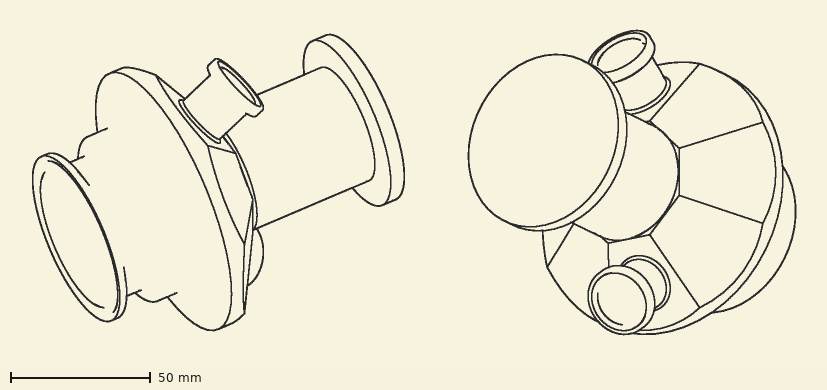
import cadquery as cq
import math

spool_radius = 64.0 / 2
neck_radius = 52.0 / 2
clamp_thickness = 2.9
clamp_taper_length = 2.6
shoulder_start = 18.5
shoulder_end = 27.9
spool_edge_round = 0.8
spool_neck_round = 1.6
shoulder_blend = 1.0
clamp_groove_radius = 28.2
clamp_groove_width = 3.3
clamp_groove_depth = 1.5
clamp_groove_lip_round = 0.9

body_radius = 99.5 / 2
body_cone_end = 35.8
facet_start = 40.6
facet_end = 60.5
facet_count = 8
facet_tilt = 35.0

pipe_radius = 44.0 / 2
pipe_root_radius = 21.0
pipe_root_end = 61.9
flange_taper_start = 110.2
flange_start = 111.1
flange_radius = spool_radius
total_length = 116.7

nozzle_foot_radius = 35.5
nozzle_length = 20.0
nozzle_radius = 19.0 / 2
nozzle_sunk_depth = 3.5
weld_size = 1.0
nozzle_flange_radius = 25.0 / 2
nozzle_flange_thickness = 4.0
nozzle_taper_length = 1.3
nozzle_edge_round = 0.7
nozzle_root_round = 0.9
nozzle_rim_round = 0.4
nozzle_recess_radius = 21.8 / 2
nozzle_recess_depth = 0.8
nozzle_groove_width = 1.9
nozzle_groove_depth = 0.9
nozzle_groove_lip_round = 0.5


def revolve_z(points):
    """Revolve an outline of (radius, height) points about Z."""
    return cq.Workplane("XZ").polyline(points).close().revolve(360, (0, 0), (0, 1))


def round_ring(solid, radius, height, size):
    """Round the circular edge that has this radius and height on the Z axis."""
    tolerance = 0.001

    def is_ring(edge):
        return (
            edge.geomType() == "CIRCLE"
            and abs(edge.radius() - radius) < tolerance
            and abs(edge.Center().z - height) < tolerance
        )

    rings = [edge for edge in solid.edges().vals() if is_ring(edge)]
    return solid.newObject(rings).fillet(size)


def cut_gasket_groove(solid, mid_radius, width, depth, lip_round):
    """Cut an arc-bottomed ring groove into the face at Z = 0 and round its lips."""
    inner = mid_radius - width / 2
    outer = mid_radius + width / 2
    groove = (
        cq.Workplane("XZ")
        .moveTo(inner, 0)
        .threePointArc((mid_radius, depth), (outer, 0))
        .close()
        .revolve(360, (0, 0), (0, 1))
    )
    solid = solid.cut(groove)
    for lip_radius in (inner, outer):
        solid = round_ring(solid, lip_radius, 0, lip_round)
    return solid


def make_spool_and_cone():
    """Front clamp spool, front cone and full round rim, with Z as the main axis."""
    taper_end = clamp_thickness + clamp_taper_length
    neck_end = shoulder_start - clamp_taper_length
    solid = revolve_z([
        (0, 0),
        (spool_radius, 0),
        (spool_radius, clamp_thickness),
        (neck_radius, taper_end),
        (neck_radius, neck_end),
        (spool_radius, shoulder_start),
        (spool_radius, shoulder_end),
        (body_radius, body_cone_end),
        (body_radius, facet_end),
        (0, facet_end),
    ])
    for height in (clamp_thickness, shoulder_start):
        solid = round_ring(solid, spool_radius, height, spool_edge_round)
    for height in (taper_end, neck_end):
        solid = round_ring(solid, neck_radius, height, spool_neck_round)
    solid = round_ring(solid, spool_radius, shoulder_end, shoulder_blend)
    return cut_gasket_groove(
        solid, clamp_groove_radius, clamp_groove_width, clamp_groove_depth, clamp_groove_lip_round
    )


def cut_facets(solid):
    """Slope the rear of the body into flat facets spaced evenly around Z."""
    rise = facet_end - facet_start
    top_radius = body_radius - rise / math.tan(math.radians(facet_tilt))
    overrun = 2.0
    drop = overrun * rise
    slope_run = body_radius - top_radius
    cutter = (
        cq.Workplane("YZ")
        .polyline([
            (top_radius, facet_end),
            (top_radius + slope_run * overrun, facet_end - drop),
            (top_radius + slope_run * overrun, facet_end),
        ])
        .close()
        .extrude(body_radius, both=True)
    )
    for index in range(facet_count):
        solid = solid.cut(cutter.rotate((0, 0, 0), (0, 0, 1), index * 360 / facet_count))
    return solid


def make_pipe():
    """Rear pipe with a tapered root and a shallow-backed end flange."""
    return revolve_z([
        (0, shoulder_end),
        (pipe_root_radius, shoulder_end),
        (pipe_root_radius, facet_end),
        (pipe_radius, pipe_root_end),
        (pipe_radius, flange_taper_start),
        (flange_radius, flange_start),
        (flange_radius, total_length),
        (0, total_length),
    ])


def cut_nozzle_recess(solid):
    """Sink the nozzle's end face inside a raised rim and run a ring groove along the rim."""
    inner = nozzle_recess_radius - nozzle_groove_width
    mid = nozzle_recess_radius - nozzle_groove_width / 2
    recess = (
        cq.Workplane("XZ")
        .lineTo(nozzle_recess_radius, 0)
        .lineTo(nozzle_recess_radius, nozzle_recess_depth)
        .threePointArc((mid, nozzle_recess_depth + nozzle_groove_depth), (inner, nozzle_recess_depth))
        .lineTo(0, nozzle_recess_depth)
        .close()
        .revolve(360, (0, 0), (0, 1))
    )
    return round_ring(solid.cut(recess), inner, nozzle_recess_depth, nozzle_groove_lip_round)


def make_nozzle():
    """Nozzle with its rim at Z = 0 and its foot at Z = nozzle_length."""
    taper_end = nozzle_flange_thickness + nozzle_taper_length
    sunk_end = nozzle_length + nozzle_sunk_depth
    solid = revolve_z([
        (0, 0),
        (nozzle_flange_radius, 0),
        (nozzle_flange_radius, nozzle_flange_thickness),
        (nozzle_radius, taper_end),
        (nozzle_radius, nozzle_length - weld_size),
        (nozzle_radius + weld_size, nozzle_length),
        (nozzle_radius, nozzle_length),
        (nozzle_radius, sunk_end),
        (0, sunk_end),
    ])
    solid = round_ring(solid, nozzle_flange_radius, nozzle_flange_thickness, nozzle_edge_round)
    solid = round_ring(solid, nozzle_radius, taper_end, nozzle_root_round)
    solid = round_ring(solid, nozzle_flange_radius, 0, nozzle_rim_round)
    return cut_nozzle_recess(solid)


def place_nozzle(nozzle):
    """Tilt the nozzle square to the upper facet and seat its foot on that facet."""
    foot_y = facet_start + (body_radius - nozzle_foot_radius) * math.tan(math.radians(facet_tilt))
    return (
        nozzle
        .translate((0, 0, -nozzle_length))
        .rotate((0, 0, 0), (1, 0, 0), 90 + facet_tilt)
        .translate((0, foot_y, nozzle_foot_radius))
    )


result = (
    cut_facets(make_spool_and_cone())
    .union(make_pipe())
    .rotate((0, 0, 0), (1, 0, 0), -90)
)
upper_nozzle = place_nozzle(make_nozzle())
result = result.union(upper_nozzle).union(upper_nozzle.mirror("XY"))